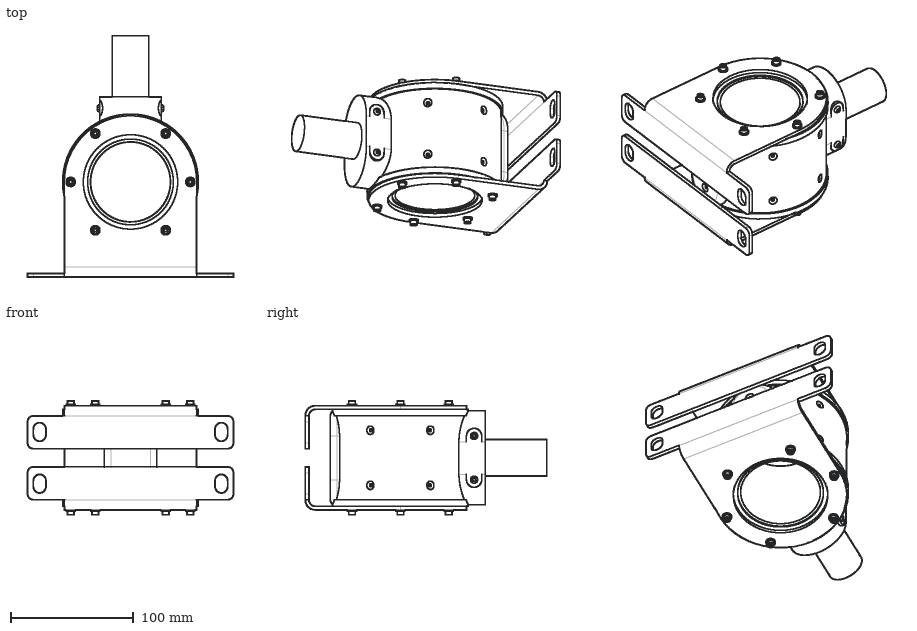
import cadquery as cq
import math


housing_dia = 108.0
rim_dia = 110.7
rim_bottom = 34.3
housing_half_height = 39.4
bore_dia = 65.0
bore_step_dia = 70.0
bore_step_depth = 1.2

collar_width = 50.5
collar_flat = 26.4
collar_end = 69.3
pipe_dia = 30.0
pipe_end = 119.4

pad_width = 12.5
pad_y = 60.0
pad_screw_spacing = 35.6
button_dia = 5.7
button_top_dia = 3.0
button_height = 2.0
button_socket = 2.5
button_socket_depth = 1.2

lug_width = 42.5
lug_flat = 35.8
lug_front = 57.3
lug_fillet = 5.3

sink_dia = 6.9
sink_hole_dia = 2.5
sink_depth = 1.2
sink_hole_depth = 3.2
wall_hole_z = 22.5
wall_hole_angle = 27.0

plate_thick = 3.2
plate_width = housing_dia
plate_hole_dia = 77.0
bend_outer_radius = 8.3
foot_length = 168.0
foot_back = 77.6
foot_inner_z = 7.3
foot_corner = 5.0
slot_width = 10.0
slot_height = 15.0
slot_spacing = 148.1
slot_z = 21.0
plate_top = housing_half_height + plate_thick

bolt_circle = 97.5
bolt_spread = 54.0
washer_dia = 7.5
washer_thick = 1.0
head_dia = 5.5
head_top = 46.5
socket_dia = 3.0
socket_depth = 1.5


def cylinder_z(diameter, bottom, top):
    """Upright cylinder between two heights on the bore axis."""
    return cq.Workplane("XY").workplane(offset=bottom).circle(diameter / 2).extrude(top - bottom)


def upright_stadium(width, flat, y_from, y_to):
    """Bar along Y whose section has straight sides of height flat and round ends."""
    plane = cq.Workplane("XZ", origin=(0, y_from, 0))
    return plane.slot2D(flat + width, width, 90).extrude(y_from - y_to)


def mirrored(shape, plane):
    """The shape together with its mirror image."""
    return shape.union(shape.mirror(plane))


def make_housing():
    """Round housing with rims, front lug, collar and pipe, before any cuts."""
    body = cylinder_z(housing_dia, -housing_half_height, housing_half_height)
    rim = cylinder_z(rim_dia, rim_bottom, housing_half_height)
    lug = upright_stadium(lug_width, lug_flat, 0, -lug_front).faces("<Y").edges().fillet(lug_fillet)
    collar = upright_stadium(collar_width, collar_flat, 0, collar_end)
    pipe = cq.Workplane("XZ").circle(pipe_dia / 2).extrude(-pipe_end)
    return body.union(mirrored(rim, "XY")).union(lug).union(collar).union(pipe)


def make_pads():
    """Flat nameplate pads flush with both flanks of the collar."""
    pad = (
        cq.Workplane("YZ", origin=(0, pad_y, 0))
        .slot2D(pad_screw_spacing + pad_width, pad_width, 90)
        .extrude(collar_width / 2)
    )
    return mirrored(pad, "YZ")


def make_button_heads():
    """Domed socket screws at both ends of each nameplate pad."""
    base = button_dia / 2
    top = button_top_dia / 2
    bulge = (0.85 * base, 0.6 * button_height)
    dome = (
        cq.Workplane("XY")
        .lineTo(base, 0)
        .threePointArc(bulge, (top, button_height))
        .lineTo(0, button_height)
        .close()
        .revolve(360, (0, 0, 0), (0, 1, 0))
    )
    socket_floor = button_height - button_socket_depth
    socket = (
        cq.Workplane("XZ", origin=(0, socket_floor, 0))
        .polygon(6, button_socket)
        .extrude(-button_height)
    )
    screw = dome.cut(socket).rotate((0, 0, 0), (0, 0, 1), -90)
    screw = screw.translate((collar_width / 2, pad_y, pad_screw_spacing / 2))
    return mirrored(mirrored(screw, "XY"), "YZ")


def countersunk_cutter(radius, angle, height):
    """Radial cutter that enters at the given radius, angle and height."""
    rim = sink_dia / 2
    hole = sink_hole_dia / 2
    cutter = (
        cq.Workplane("XZ")
        .polyline([
            (0, -sink_hole_depth),
            (hole, -sink_hole_depth),
            (hole, -sink_depth),
            (rim, 0),
            (rim, sink_depth),
            (0, sink_depth),
        ])
        .close()
        .revolve(360, (0, 0, 0), (0, 1, 0))
    )
    cutter = cutter.rotate((0, 0, 0), (0, 1, 0), 90).translate((radius, 0, height))
    return cutter.rotate((0, 0, 0), (0, 0, 1), angle)


def make_wall_holes():
    """Two rows of countersunk holes on both flanks of the housing and on the lug."""
    side_angles = [-wall_hole_angle, wall_hole_angle, 180 - wall_hole_angle, 180 + wall_hole_angle]
    holes = cq.Workplane("XY")
    for height in (-wall_hole_z, wall_hole_z):
        for angle in side_angles:
            holes = holes.union(countersunk_cutter(housing_dia / 2, angle, height))
        holes = holes.union(countersunk_cutter(lug_front, -90, height))
    return holes


def make_bore():
    """Through bore with a shallow wider step at both ends."""
    step = cylinder_z(bore_step_dia, housing_half_height - bore_step_depth, housing_half_height)
    return cylinder_z(bore_dia, -plate_top, plate_top).union(mirrored(step, "XY"))


def make_bracket():
    """Upper bracket: plate on top of the housing, bent down into a slotted foot."""
    inner_radius = bend_outer_radius - plate_thick
    bend_y = bend_outer_radius - foot_back
    bend_z = plate_top - bend_outer_radius
    diagonal = math.sqrt(0.5)
    strip = (
        cq.Workplane("YZ", origin=(-plate_width / 2, 0, 0))
        .moveTo(0, plate_top)
        .lineTo(bend_y, plate_top)
        .threePointArc(
            (bend_y - bend_outer_radius * diagonal, bend_z + bend_outer_radius * diagonal),
            (-foot_back, bend_z),
        )
        .lineTo(plate_thick - foot_back, bend_z)
        .threePointArc(
            (bend_y - inner_radius * diagonal, bend_z + inner_radius * diagonal),
            (bend_y, housing_half_height),
        )
        .lineTo(0, housing_half_height)
        .close()
        .extrude(plate_width)
    )
    foot = (
        cq.Workplane("XZ", origin=(0, -foot_back, (foot_inner_z + bend_z) / 2))
        .rect(foot_length, bend_z - foot_inner_z)
        .extrude(-plate_thick)
        .edges("|Y")
        .fillet(foot_corner)
    )
    slots = (
        cq.Workplane("XZ", origin=(0, -foot_back, slot_z))
        .pushPoints([(-slot_spacing / 2, 0), (slot_spacing / 2, 0)])
        .slot2D(slot_height, slot_width, 90)
        .extrude(-plate_thick)
    )
    head = cylinder_z(plate_width, housing_half_height, plate_top)
    opening = cylinder_z(plate_hole_dia, housing_half_height, plate_top)
    return strip.union(head).union(foot).cut(slots).cut(opening)


def make_bolts():
    """Socket bolts with washers on top of the upper bracket."""
    radius = bolt_circle / 2
    bolts = cq.Workplane("XY")
    washer = cylinder_z(washer_dia, plate_top, plate_top + washer_thick)
    head = cylinder_z(head_dia, plate_top, head_top)
    socket = (
        cq.Workplane("XY")
        .workplane(offset=head_top - socket_depth)
        .polygon(6, socket_dia)
        .extrude(socket_depth)
    )
    bolt = washer.union(head).cut(socket)
    for side in (0, 180):
        for offset in (-bolt_spread, 0, bolt_spread):
            angle = math.radians(side + offset)
            bolts = bolts.union(bolt.translate((radius * math.cos(angle), radius * math.sin(angle), 0)))
    return bolts


bracket = make_bracket().union(make_bolts())
result = (
    make_housing()
    .union(make_pads())
    .cut(make_bore())
    .cut(make_wall_holes())
    .union(make_button_heads())
    .union(mirrored(bracket, "XY"))
)